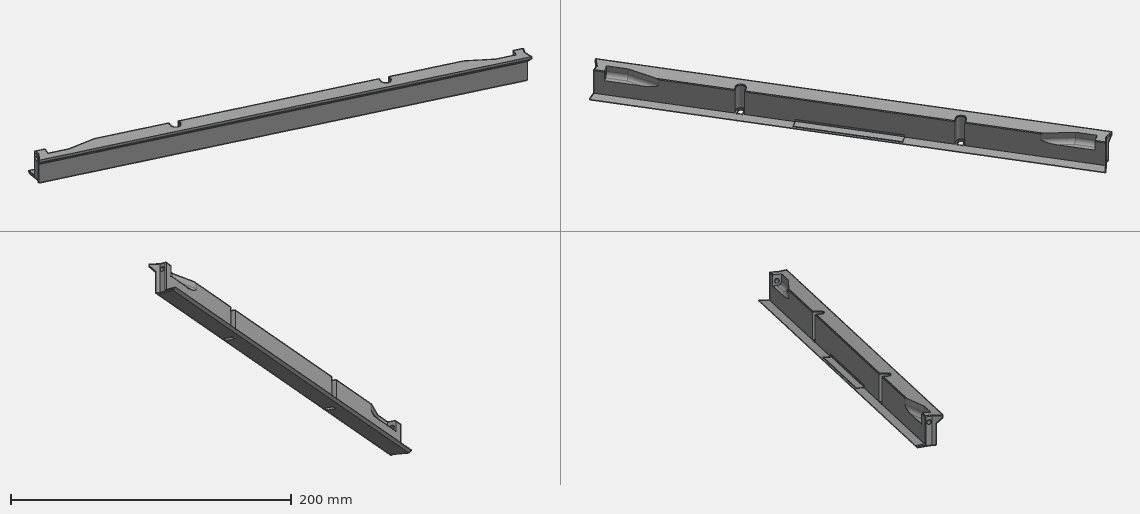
import cadquery as cq
import math

tolerance = 0.01

length = 378.0
width = 21.0
height = 22.9

flange_thickness = 2.0
flange_bevel = 2.0
web_left = 7.8
web_right = 16.6
lip_tip_thickness = 2.0
lip_overhang = width - web_right
bottom_edge_chamfer = 1.0

end_vee_x = 13.2
end_vee_depth = 2.8

end_chamfer = 0.7
top_chamfer = 0.6

tip_loss = end_chamfer * math.sin(math.atan2(end_vee_depth, width - end_vee_x))
raw_end_y = length / 2 + tip_loss

screw_y = 80.5
screw_x = 11.5
screw_hole_x = 12.4
screw_diameter = 4.4
head_diameter = 6.88
head_seat_z = flange_thickness

scoop_radius = head_diameter / 2
scoop_wall_x = 14.5
scoop_floor_z = 14.6
scoop_outer_y = 179.3
scoop_bend_y = 163.5
scoop_tip_y = 139.5

end_screw_diameter = 3.4
end_screw_x = scoop_wall_x - scoop_radius
end_screw_z = scoop_floor_z + scoop_radius

label_length = 80.0
label_left = 2.3
label_depth = 0.5
label_top_z = 4.0
label_undercut = 1.0


def make_rail():
    lip_slope_z = height - lip_tip_thickness
    return (
        cq.Workplane("XZ")
        .moveTo(0, flange_thickness)
        .lineTo(flange_bevel, 0)
        .lineTo(web_right - bottom_edge_chamfer, 0)
        .lineTo(web_right, bottom_edge_chamfer)
        .lineTo(web_right, lip_slope_z - lip_overhang)
        .lineTo(width, lip_slope_z)
        .lineTo(width, height)
        .lineTo(web_left, height)
        .lineTo(web_left, flange_thickness)
        .close()
        .extrude(raw_end_y, both=True)
    )


def make_end_vee(side):
    end_y = side * raw_end_y
    return (
        cq.Workplane("XY")
        .polyline([(0, end_y), (end_vee_x, end_y - side * end_vee_depth), (width, end_y)])
        .close()
        .extrude(height)
    )


def make_end_screw_hole(side):
    hole_length = length / 2 - scoop_bend_y
    return (
        cq.Workplane("XZ", origin=(end_screw_x, side * scoop_bend_y, end_screw_z))
        .circle(end_screw_diameter / 2)
        .extrude(-side * hole_length)
    )


def make_open_channel(x, y, diameter, bottom_z):
    """Vertical round channel whose mouth opens through the left face of the web."""
    channel_height = height - bottom_z
    bore = cq.Workplane("XY", origin=(x, y, bottom_z)).circle(diameter / 2).extrude(channel_height)
    mouth = (
        cq.Workplane("XY", origin=(web_left, y - diameter / 2, bottom_z))
        .rect(x - web_left, diameter, centered=False)
        .extrude(channel_height)
    )
    return bore.union(mouth)


def scoop_section(y, wall_x):
    """Closed section of the scoop: upright wall, quarter-round root and flat floor."""
    open_x = wall_x - 2 * scoop_wall_x
    return (
        cq.Workplane("XZ", origin=(0, y, 0))
        .moveTo(open_x, height)
        .lineTo(wall_x, height)
        .lineTo(wall_x, scoop_floor_z + scoop_radius)
        .radiusArc((wall_x - scoop_radius, scoop_floor_z), scoop_radius)
        .lineTo(open_x, scoop_floor_z)
        .close()
        .wires()
        .val()
    )


def make_scoop(side):
    outer = scoop_section(side * scoop_outer_y, scoop_wall_x)
    bend = scoop_section(side * scoop_bend_y, scoop_wall_x)
    tip = scoop_section(side * scoop_tip_y, web_left)
    straight = cq.Workplane(cq.Solid.makeLoft([outer, bend], True))
    taper = cq.Workplane(cq.Solid.makeLoft([bend, tip], True))
    return straight.union(taper)


def make_label_recess():
    floor_z = flange_thickness - label_depth
    return (
        cq.Workplane("XZ")
        .moveTo(label_left, floor_z)
        .lineTo(web_left + label_undercut, floor_z)
        .lineTo(web_left, label_top_z)
        .lineTo(label_left, label_top_z)
        .close()
        .extrude(label_length / 2, both=True)
    )


def is_end_edge(edge):
    """True for the outline of the end faces, but not for the bottom line of the V."""
    box = edge.BoundingBox()
    near_end = abs(edge.Center().y) > raw_end_y - end_vee_depth - tolerance
    vee_line = max(abs(box.xmin - end_vee_x), abs(box.xmax - end_vee_x)) < tolerance
    return near_end and not vee_line


def is_top_web_edge(edge):
    """True for the edges of the top face that border the web and the screw channels."""
    box = edge.BoundingBox()
    on_top = box.zmin > height - tolerance
    away_from_ends = abs(edge.Center().y) < scoop_outer_y
    away_from_lip = box.xmax < width - tolerance
    return on_top and away_from_ends and away_from_lip


def chamfer_edges(body, is_wanted, size):
    edges = [edge for edge in body.edges().vals() if is_wanted(edge)]
    return body.newObject([body.val().chamfer(size, None, edges)])


result = make_rail()
for side in (-1, 1):
    result = result.cut(make_end_vee(side))
result = chamfer_edges(result, is_end_edge, end_chamfer)

for side in (-1, 1):
    result = result.cut(make_open_channel(screw_x, side * screw_y, head_diameter, head_seat_z))
result = chamfer_edges(result, is_top_web_edge, top_chamfer)

result = result.cut(make_label_recess())
for side in (-1, 1):
    result = result.cut(make_open_channel(screw_hole_x, side * screw_y, screw_diameter, 0))
    result = result.cut(make_scoop(side))
    result = result.cut(make_end_screw_hole(side))